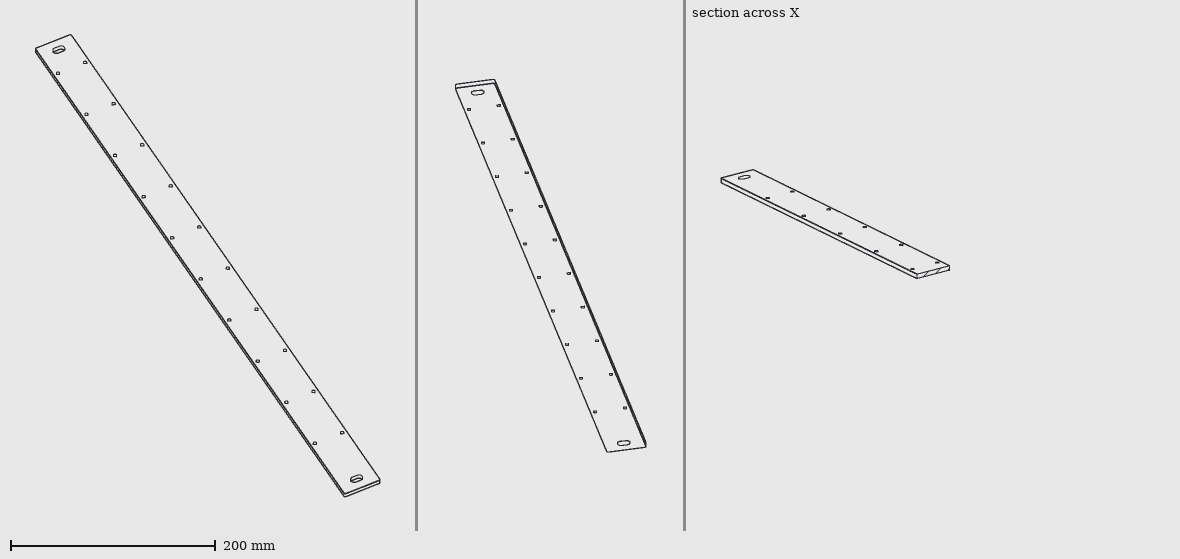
import cadquery as cq

length = 651.0
width = 40.0
thickness = 5.0
corner_radius = 2.0
edge_chamfer = 0.3

hole_diameter = 3.0
holes_per_row = 10
row_spacing = 30.0
left_end_to_first_hole = 39.0
right_end_to_last_hole = 71.5
hole_pitch = (length - left_end_to_first_hole - right_end_to_last_hole) / (holes_per_row - 1)

slot_length = 12.5
slot_width = 7.0
end_to_slot_center = 12.5


def make_strip():
    strip = cq.Workplane("XY").box(length, width, thickness)
    strip = strip.edges("|Z").fillet(corner_radius)
    return strip.faces("<Z or >Z").edges().chamfer(edge_chamfer)


def make_edge_holes():
    first_hole_x = -length / 2 + left_end_to_first_hole
    centers = [
        (first_hole_x + i * hole_pitch, side * row_spacing / 2)
        for i in range(holes_per_row)
        for side in (-1, 1)
    ]
    return cq.Workplane("XY").pushPoints(centers).circle(hole_diameter / 2).extrude(thickness, both=True)


def make_end_slots():
    slot_x = length / 2 - end_to_slot_center
    return (
        cq.Workplane("XY")
        .pushPoints([(-slot_x, 0), (slot_x, 0)])
        .slot2D(slot_length, slot_width, angle=90)
        .extrude(thickness, both=True)
    )


result = make_strip().cut(make_edge_holes()).cut(make_end_slots())